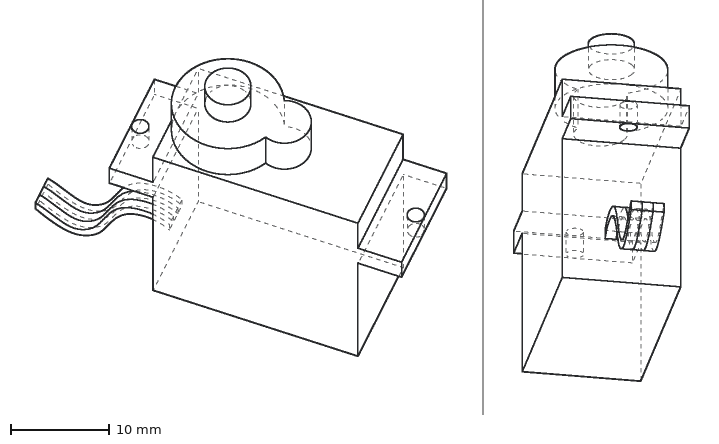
import cadquery as cq


case_length = 22.55
case_width = 12.3
case_height = 22.4
tab_length = 4.8
tab_thickness = 2.52
tab_bottom = 15.7
tab_hole_diameter = 1.75
tab_hole_edge_distance = 0.93

cover_height = 4.37
cover_diameter = 11.52
lobe_diameter = 5.45
lobe_offset = 6.22
output_x = cover_diameter / 2
cover_top = case_height + cover_height

shaft_diameter = 4.7
shaft_height = 2.9

wire_count = 3
wire_width = 1.15
cable_reach = 14.7
cable_exit_bottom = 4.8
cable_exit_top = 5.7
cable_tip_bottom = 1.1
cable_tip_top = 2.05

wire_upper_edge = [
    (-cable_reach, cable_tip_top),
    (-12.6, 0.85),
    (-10.25, -0.1),
    (-8.65, 0.7),
    (-7.0, 3.55),
    (-5.05, 6.0),
    (-3.2, 6.6),
    (0, cable_exit_top),
]
wire_lower_edge = [
    (-cable_reach, cable_tip_bottom),
    (-12.7, -0.3),
    (-10.2, -1.0),
    (-8.08, 0.05),
    (-6.22, 3.2),
    (-4.35, 5.3),
    (-3.05, 5.68),
    (0, cable_exit_bottom),
]


def make_housing():
    """Case block with mounting tabs, screw holes and the gear cover."""
    block = cq.Workplane("XY").box(case_length, case_width, case_height, centered=(False, True, False))
    tabs = (
        cq.Workplane("XY", origin=(-tab_length, 0, tab_bottom))
        .box(case_length + 2 * tab_length, case_width, tab_thickness, centered=(False, True, False))
    )
    hole_inset = tab_length - tab_hole_edge_distance
    screw_holes = (
        cq.Workplane("XY", origin=(0, 0, tab_bottom))
        .pushPoints([(-hole_inset, 0), (case_length + hole_inset, 0)])
        .circle(tab_hole_diameter / 2)
        .extrude(tab_thickness)
    )
    cover_plane = cq.Workplane("XY", origin=(output_x, 0, case_height))
    cover = cover_plane.circle(cover_diameter / 2).extrude(cover_height)
    lobe = cover_plane.center(lobe_offset, 0).circle(lobe_diameter / 2).extrude(cover_height)
    return block.union(tabs).cut(screw_holes).union(cover.union(lobe))


def make_output_shaft():
    """Plain round shaft standing on the gear cover."""
    return (
        cq.Workplane("XY", origin=(output_x, 0, cover_top))
        .circle(shaft_diameter / 2)
        .extrude(shaft_height)
    )


def make_wire(center_y):
    """One wavy wire strip, centred on the given Y and ending at the case."""
    return (
        cq.Workplane("XZ", origin=(0, center_y + wire_width / 2, 0))
        .moveTo(*wire_upper_edge[0])
        .spline(wire_upper_edge[1:], includeCurrent=True)
        .lineTo(*wire_lower_edge[-1])
        .spline(wire_lower_edge[-2::-1], includeCurrent=True)
        .close()
        .extrude(wire_width)
    )


housing = make_housing()
output_shaft = make_output_shaft()

wires = []
for index in range(wire_count):
    wire_y = (index - (wire_count - 1) / 2) * wire_width
    wires.append(make_wire(wire_y).val())

result = cq.Compound.makeCompound([housing.val(), output_shaft.val(), *wires])